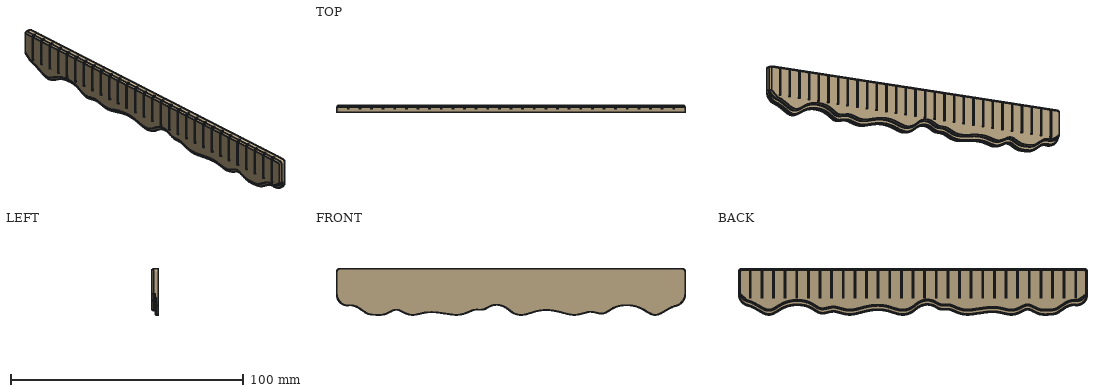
import cadquery as cq
import math

length = 150.0
thickness = 3.0
height = 20.0

bevel_start = 0.9
layer_split = 1.5
back_bevel_depth = 0.9
back_bevel_inset = 0.6
front_bevel_rise = 0.5
back_layer_rise = 1.8

top_corner_radius = 1.4
corner_start = 9.2
left_corner_middle = (1.5, 5.4)
right_corner_middle = (148.8, 5.7)

plank_count = 30
plank_pitch = length / plank_count
groove_width = 0.6
groove_bottom = 7.5

wave_points = [
    (4.8, 4.0),
    (9.0, 3.3),
    (13.6, 0.5),
    (17.1, 0.0),
    (20.7, 0.3),
    (25.8, 2.2),
    (29.5, 0.8),
    (33.0, 0.0),
    (36.6, 0.8),
    (41.5, 1.2),
    (46.5, 0.6),
    (51.5, 0.0),
    (55.5, 0.8),
    (59.5, 2.2),
    (63.3, 2.4),
    (66.0, 3.8),
    (69.2, 4.4),
    (72.8, 3.2),
    (75.6, 1.0),
    (79.5, 0.0),
    (85.5, 1.5),
    (91.2, 2.1),
    (96.9, 1.0),
    (102.2, 0.0),
    (105.8, 0.6),
    (109.4, 1.4),
    (114.5, 0.6),
    (118.8, 2.8),
    (125.1, 4.2),
    (131.2, 2.7),
    (137.0, 0.0),
    (141.9, 2.1),
    (146.4, 4.0),
]


def outline(y, rise=0.0, inset=0.0):
    """Closed outline at depth y, with its wavy edge raised and its ends and top drawn in."""
    left = inset
    right = length - inset
    top = height - inset
    radius = top_corner_radius - inset
    diagonal = radius * (1 - math.sqrt(0.5))
    left_middle = (left_corner_middle[0] + inset, left_corner_middle[1] + rise)
    right_middle = (right_corner_middle[0] - inset, right_corner_middle[1] + rise)
    wavy_edge = [(x, z + rise) for x, z in wave_points]
    return (
        cq.Workplane("XZ", origin=(0, y, 0))
        .moveTo(left, corner_start)
        .threePointArc(left_middle, wavy_edge[0])
        .spline(wavy_edge[1:], includeCurrent=True)
        .threePointArc(right_middle, (right, corner_start))
        .lineTo(right, top - radius)
        .threePointArc((right - diagonal, top - diagonal), (right - radius, top))
        .lineTo(left + radius, top)
        .threePointArc((left + diagonal, top - diagonal), (left, top - radius))
        .close()
    )


def layer(front, back):
    """Solid spanned straight between two outlines."""
    wires = [front.wires().val(), back.wires().val()]
    return cq.Workplane(cq.Solid.makeLoft(wires, True))


def grooves():
    """Cutters for the blind grooves, open at the top and back of the back layer."""
    centres = [(i * plank_pitch, 0) for i in range(1, plank_count)]
    return (
        cq.Workplane("XY", origin=(0, (layer_split + thickness) / 2, groove_bottom))
        .pushPoints(centres)
        .rect(groove_width, thickness - layer_split)
        .extrude(height)
    )


back_bevel_start = thickness - back_bevel_depth
front_layer = layer(outline(0), outline(bevel_start))
front_bevel = layer(outline(bevel_start), outline(layer_split, front_bevel_rise))
back_layer = layer(outline(layer_split, back_layer_rise), outline(back_bevel_start, back_layer_rise))
back_bevel = layer(
    outline(back_bevel_start, back_layer_rise),
    outline(thickness, back_layer_rise + back_bevel_inset, back_bevel_inset),
)

result = front_layer.union(front_bevel).union(back_layer).union(back_bevel).cut(grooves())